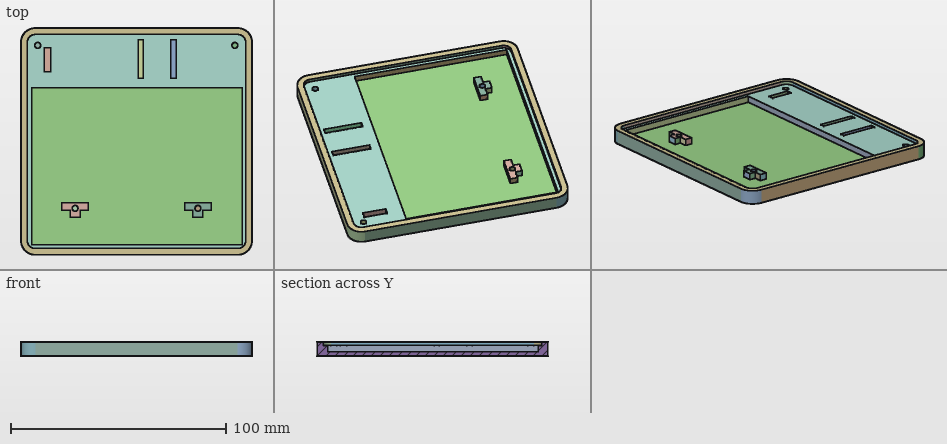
import cadquery as cq

LENGTH = 107.6
WIDTH = 105.61
HEIGHT = 6.6
CORNER_RADIUS = 6.8

RIM_WIDTH_X = 3.0
RIM_WIDTH_Y = 3.05
RECESS_CORNER_RADIUS = 3.7
RECESS_DEPTH = 1.6

POCKET_LENGTH = 97.8
POCKET_X = 0.2
LEDGE_WIDTH = 1.8
POCKET_WIDTH = 72.9
POCKET_DEPTH = 3.0

HOLE_DIAMETER = 2.7
DECK_HOLE_SPACING = 91.65
DECK_HOLES_X = -0.1
DECK_HOLE_Y = 44.7
POST_HOLE_SPACING = 57.1
POST_HOLE_Y = -31.1

POST_BAR_LENGTH = 12.4
POST_BAR_WIDTH = 3.5
POST_BAR_EDGE = 2.55
POST_STEM_LENGTH = 4.6
POST_TOTAL_WIDTH = 6.6
POST_HEIGHT = POCKET_DEPTH

LONG_SLOT_SIZE = (2.5, 18.0)
LONG_SLOT_CENTERS = [(1.95, 38.4), (17.25, 38.4)]
SHORT_SLOT_SIZE = (2.9, 11.0)
SHORT_SLOT_CENTERS = [(-41.4, 38.0)]

CUT_DEPTH = POCKET_DEPTH

DECK_Z = HEIGHT - RECESS_DEPTH
FLOOR_Z = DECK_Z - POCKET_DEPTH
RECESS_LENGTH = LENGTH - 2 * RIM_WIDTH_X
RECESS_WIDTH = WIDTH - 2 * RIM_WIDTH_Y
POCKET_Y = -RECESS_WIDTH / 2 + LEDGE_WIDTH + POCKET_WIDTH / 2


def box_on(z, length, width, height, x=0, y=0):
    """Box centred on (x, y) that stands on level z."""
    return cq.Workplane("XY", origin=(x, y, z)).box(length, width, height, centered=(True, True, False))


def tray():
    """Rounded plate with a shallow recess and a deep pocket."""
    body = box_on(0, LENGTH, WIDTH, HEIGHT).edges("|Z").fillet(CORNER_RADIUS)
    recess = box_on(DECK_Z, RECESS_LENGTH, RECESS_WIDTH, RECESS_DEPTH)
    recess = recess.edges("|Z").fillet(RECESS_CORNER_RADIUS)
    pocket = box_on(FLOOR_Z, POCKET_LENGTH, POCKET_WIDTH, POCKET_DEPTH, POCKET_X, POCKET_Y)
    return body.cut(recess).cut(pocket)


def post(x):
    """T-shaped post on the pocket floor, its stem pointing to -Y."""
    far_y = POST_HOLE_Y + POST_BAR_EDGE
    bar = box_on(FLOOR_Z, POST_BAR_LENGTH, POST_BAR_WIDTH, POST_HEIGHT, x, far_y - POST_BAR_WIDTH / 2)
    stem = box_on(FLOOR_Z, POST_STEM_LENGTH, POST_TOTAL_WIDTH, POST_HEIGHT, x, far_y - POST_TOTAL_WIDTH / 2)
    return bar.union(stem)


def deck_points(centers):
    """Workplane with points on the deck level, where the slots and holes start."""
    return cq.Workplane("XY", origin=(0, 0, DECK_Z)).pushPoints(centers)


def slots(size, centers):
    """Blind slots sunk from the deck."""
    return deck_points(centers).rect(*size).extrude(-CUT_DEPTH)


def screw_holes():
    """Blind holes in the deck corners and in the posts."""
    centers = []
    for side in (-1, 1):
        centers.append((DECK_HOLES_X + side * DECK_HOLE_SPACING / 2, DECK_HOLE_Y))
        centers.append((side * POST_HOLE_SPACING / 2, POST_HOLE_Y))
    return deck_points(centers).circle(HOLE_DIAMETER / 2).extrude(-CUT_DEPTH)


result = tray()
for side in (-1, 1):
    result = result.union(post(side * POST_HOLE_SPACING / 2))
result = result.cut(slots(LONG_SLOT_SIZE, LONG_SLOT_CENTERS))
result = result.cut(slots(SHORT_SLOT_SIZE, SHORT_SLOT_CENTERS))
result = result.cut(screw_holes())